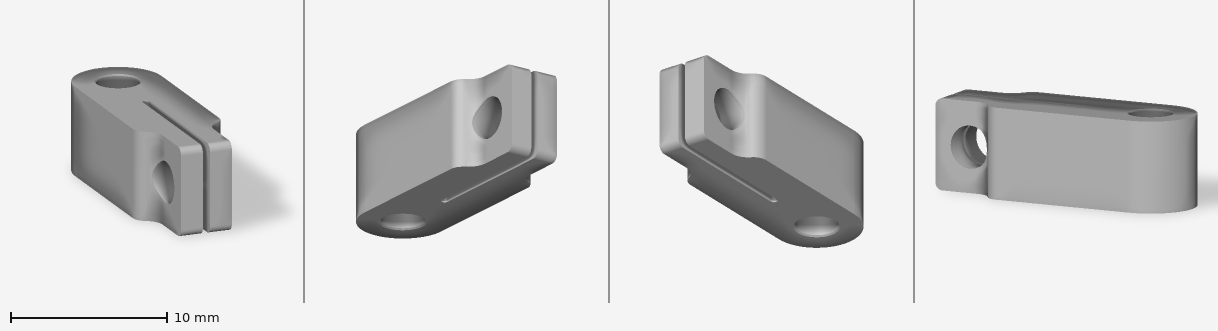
import cadquery as cq
import math

length = 17.65
width = 6.0
height = 6.0
nose_radius = width / 2

tail_width = 3.53
shoulder_start = 12.6
shoulder_end = 14.65
tail_corner_radius = 0.5

hole_diameter = 2.8
pivot_chamfer = 0.1
clamp_hole_x = 15.15
slit_start = 7.4
slit_width = 0.5

convex_radius = 1.0
shoulder_length = shoulder_end - shoulder_start
shoulder_drop = (width - tail_width) / 2
shoulder_angle = 2 * math.atan2(shoulder_drop, shoulder_length)
blend_x = shoulder_start + convex_radius * math.sin(shoulder_angle)
blend_y = width / 2 - convex_radius * (1 - math.cos(shoulder_angle))


def make_body():
    """Extrude the plan outline: round nose at X = 0, narrow tail at X = length."""
    return (
        cq.Workplane("XY")
        .moveTo(nose_radius, -width / 2)
        .threePointArc((0, 0), (nose_radius, width / 2))
        .lineTo(shoulder_start, width / 2)
        .tangentArcPoint((blend_x, blend_y), relative=False)
        .tangentArcPoint((shoulder_end, tail_width / 2), relative=False)
        .lineTo(length, tail_width / 2)
        .lineTo(length, -tail_width / 2)
        .lineTo(shoulder_end, -tail_width / 2)
        .tangentArcPoint((blend_x, -blend_y), relative=False)
        .tangentArcPoint((shoulder_start, -width / 2), relative=False)
        .close()
        .extrude(height)
    )


def cut_pivot_hole(body):
    """Vertical through hole concentric with the nose, chamfered at both ends."""
    hole = cq.Workplane("XY").center(nose_radius, 0).circle(hole_diameter / 2).extrude(height)
    mouth_radius = hole_diameter / 2 + pivot_chamfer
    mouth = cq.Workplane("XY").center(nose_radius, 0).circle(mouth_radius)
    bottom_mouth = mouth.extrude(pivot_chamfer, taper=45)
    top_mouth = bottom_mouth.mirror("XY", (0, 0, height / 2))
    return body.cut(hole).cut(bottom_mouth).cut(top_mouth)


def cut_clamp_hole(body):
    """Cross hole through both jaws along Y."""
    hole = (
        cq.Workplane("XZ", origin=(clamp_hole_x, 0, height / 2))
        .circle(hole_diameter / 2)
        .extrude(width / 2, both=True)
    )
    return body.cut(hole)


def cut_slit(body):
    """Full-height slit with a round inner end, open at the tail."""
    slit_radius = slit_width / 2
    straight_start = slit_start + slit_radius
    slit = (
        cq.Workplane("XY")
        .moveTo(length, slit_radius)
        .lineTo(straight_start, slit_radius)
        .threePointArc((slit_start, 0), (straight_start, -slit_radius))
        .lineTo(length, -slit_radius)
        .close()
        .extrude(height)
    )
    return body.cut(slit)


body = make_body().faces(">X").edges("|Y").fillet(tail_corner_radius)
body = cut_pivot_hole(body)
body = cut_clamp_hole(body)
result = cut_slit(body)